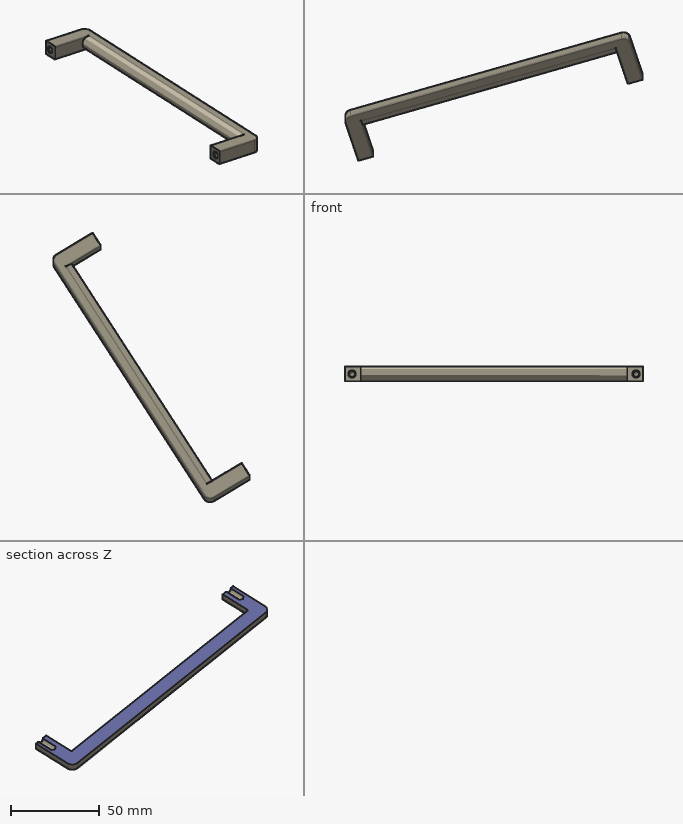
import cadquery as cq
import math

LENGTH = 168.0
DEPTH = 28.0
HEIGHT = 8.5
LEG_WIDTH = 9.0
CORNER_RADIUS = 4.0
EDGE_RADIUS = 0.5

GRIP_DEPTH = 9.0
GRIP_RADIUS = HEIGHT / 2

HOLE_SPACING = 160.0
HOLE_DIAMETER = 3.24
COUNTERSINK_DIAMETER = 4.3
COUNTERSINK_ANGLE = 90.0
HOLE_DEPTH = 10.0
DRILL_POINT_ANGLE = 118.0

INNER_LENGTH = LENGTH - 2 * LEG_WIDTH
GRIP_AXIS_Y = DEPTH - GRIP_DEPTH + GRIP_RADIUS


def make_frame():
    """U-shaped frame: two legs joined by the flat-sided back of the grip."""
    frame = cq.Workplane("XY").box(LENGTH, DEPTH, HEIGHT, centered=(True, False, True))
    frame = frame.edges("|Z and >Y").fillet(CORNER_RADIUS)
    opening = cq.Workplane("XY").box(
        INNER_LENGTH, GRIP_AXIS_Y, HEIGHT, centered=(True, False, True)
    )
    return frame.cut(opening)


def soften_edges(frame):
    """Round the outer and leg edges on the top and bottom faces.

    The leg ends stay sharp, and so does the line where the half-round side starts.
    """
    sharp_lines = cq.selectors.BoxSelector(
        (-LENGTH, -EDGE_RADIUS, -HEIGHT),
        (LENGTH, EDGE_RADIUS, HEIGHT),
    ) + cq.selectors.BoxSelector(
        (-EDGE_RADIUS, GRIP_AXIS_Y - EDGE_RADIUS, -HEIGHT),
        (EDGE_RADIUS, GRIP_AXIS_Y + EDGE_RADIUS, HEIGHT),
    )
    long_edges = cq.selectors.StringSyntaxSelector("#Z") - sharp_lines
    return frame.edges(long_edges).fillet(EDGE_RADIUS)


def make_grip_rounding():
    """Round rod between the legs; its front half forms the finger side of the grip."""
    return (
        cq.Workplane("YZ", origin=(-INNER_LENGTH / 2, 0, 0))
        .center(GRIP_AXIS_Y, 0)
        .circle(GRIP_RADIUS)
        .extrude(INNER_LENGTH)
    )


def make_hole(x):
    """Countersunk blind hole with a conical bottom, bored into a leg end along +Y."""
    radius = HOLE_DIAMETER / 2
    sink_radius = COUNTERSINK_DIAMETER / 2
    sink_depth = (sink_radius - radius) / math.tan(math.radians(COUNTERSINK_ANGLE / 2))
    point_depth = radius / math.tan(math.radians(DRILL_POINT_ANGLE / 2))
    half_profile = cq.Workplane("XY").polyline([
        (0, 0),
        (sink_radius, 0),
        (radius, sink_depth),
        (radius, HOLE_DEPTH),
        (0, HOLE_DEPTH + point_depth),
    ]).close()
    return half_profile.revolve(360, (0, 0, 0), (0, 1, 0)).translate((x, 0, 0))


result = soften_edges(make_frame()).union(make_grip_rounding())
for side in (-1, 1):
    result = result.cut(make_hole(side * HOLE_SPACING / 2))